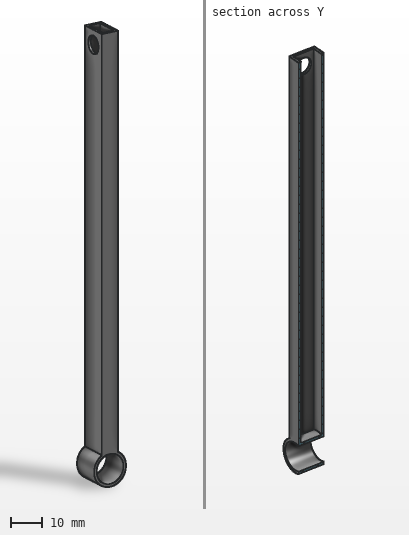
import cadquery as cq

total_height = 151.0
width = 10.0
wall = 1.0

ring_outer_diameter = 12.0
ring_outer_radius = ring_outer_diameter / 2
ring_inner_radius = ring_outer_radius - wall

tube_depth = 6.0
tube_top = total_height - ring_outer_radius

pin_hole_diameter = 6.0
pin_hole_height = tube_top - width / 2


def cylinder_along_x(radius):
    return cq.Workplane("YZ").circle(radius).extrude(width / 2, both=True)


def upright_block(size_x, size_y):
    return cq.Workplane("XY").rect(size_x, size_y).extrude(tube_top)


tube = upright_block(width, tube_depth).cut(upright_block(width - 2 * wall, tube_depth - 2 * wall))

part = tube.union(cylinder_along_x(ring_outer_radius)).cut(cylinder_along_x(ring_inner_radius))

pin_hole = (
    cq.Workplane("XZ")
    .center(0, pin_hole_height)
    .circle(pin_hole_diameter / 2)
    .extrude(tube_depth, both=True)
)

result = part.cut(pin_hole)